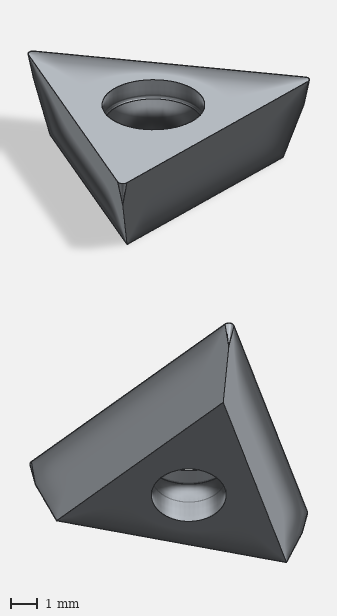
import cadquery as cq
import math

thickness = 3.17
overall_width = 10.71
nose_radius = 0.2
relief_angle = 11.0
bore_diameter = 2.8
head_diameter = 3.83
head_wall_depth = 0.65
rim_inset = 0.07
rim_drop = 0.13
seat_bottom_depth = 2.16

cone_depth = nose_radius / math.tan(math.radians(relief_angle))
core_side = overall_width - 2 * nose_radius
core_inradius = core_side / (2 * math.sqrt(3))
core_circumradius = 2 * core_inradius
cone_tip_z = thickness - cone_depth
corner_angles = (90, 210, 330)


def core_triangle(z):
    points = [
        (core_circumradius * math.cos(math.radians(a)), core_circumradius * math.sin(math.radians(a)))
        for a in corner_angles
    ]
    return cq.Workplane("XY", origin=(0, 0, z)).polyline(points).close()


def side_wedge():
    """Inclined flank on the -Y side, running between two nose cones."""
    profile = [
        (-core_inradius, cone_tip_z),
        (-core_inradius, thickness),
        (-core_inradius - nose_radius, thickness),
    ]
    return cq.Workplane("YZ").polyline(profile).close().extrude(core_side / 2, both=True)


def nose_cone():
    """Conical nose at the +Y corner, with its tip pointing down."""
    cone = cq.Solid.makeCone(0, nose_radius, cone_depth)
    return cq.Workplane(cone.translate(cq.Vector(0, core_circumradius, cone_tip_z)))


def insert_body():
    body = core_triangle(cone_tip_z).extrude(-cone_tip_z, taper=relief_angle)
    body = body.union(core_triangle(cone_tip_z).extrude(cone_depth))
    for turn in (0, 120, 240):
        body = body.union(side_wedge().rotate((0, 0, 0), (0, 0, 1), turn))
        body = body.union(nose_cone().rotate((0, 0, 0), (0, 0, 1), turn))
    return body.clean()


def screw_hole():
    """Through bore with a convex rounded seat below a blended cylindrical head recess."""
    bore_r = bore_diameter / 2
    head_r = head_diameter / 2
    rim_r = head_r - rim_inset
    wall_z = thickness - head_wall_depth
    rim_z = wall_z - rim_drop
    seat_bottom_z = thickness - seat_bottom_depth
    seat_width = rim_r - bore_r
    seat_height = rim_z - seat_bottom_z
    seat_radius = (seat_width**2 + seat_height**2) / (2 * seat_width)
    half_sweep = math.asin(seat_height / seat_radius) / 2
    seat_middle = (
        bore_r + seat_radius * (1 - math.cos(half_sweep)),
        seat_bottom_z + seat_radius * math.sin(half_sweep),
    )
    profile = (
        cq.Workplane("XZ")
        .moveTo(head_r, thickness)
        .lineTo(head_r, wall_z)
        .tangentArcPoint((rim_r, rim_z), relative=False)
        .threePointArc(seat_middle, (bore_r, seat_bottom_z))
        .lineTo(bore_r, 0)
        .lineTo(0, 0)
        .lineTo(0, thickness)
        .close()
    )
    return profile.revolve(360, (0, 0, 0), (0, 1, 0))


result = insert_body().cut(screw_hole())